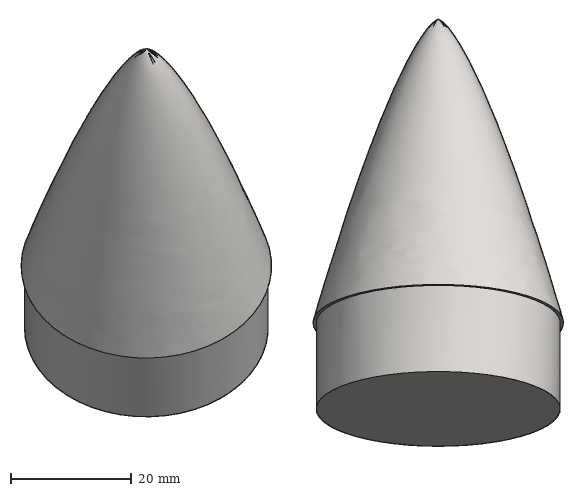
import cadquery as cq

total_height = 68.0
nose_diameter = 41.6
shoulder_diameter = 40.5
shoulder_height = 15.0

nose_exponent = 0.71
profile_steps = 16

nose_radius = nose_diameter / 2
nose_height = total_height - shoulder_height


def nose_point(fraction):
    """Profile point at a fraction of the nose radius: 0 is the tip, 1 is the rim."""
    depth = nose_height * fraction ** (1 / nose_exponent)
    return (nose_radius * fraction, total_height - depth)


def make_nose():
    """Solid pointed nose, revolved about Z."""
    tip_to_rim = [nose_point(step / profile_steps) for step in range(profile_steps + 1)]
    profile = (
        cq.Workplane("XZ")
        .moveTo(*tip_to_rim[0])
        .spline(tip_to_rim[1:], includeCurrent=True)
        .lineTo(0, shoulder_height)
        .close()
    )
    return profile.revolve(360, (0, 0, 0), (0, 1, 0))


def make_shoulder():
    """Plain cylinder under the nose, slightly smaller than its rim."""
    return cq.Workplane("XY").circle(shoulder_diameter / 2).extrude(shoulder_height)


result = make_shoulder().union(make_nose())